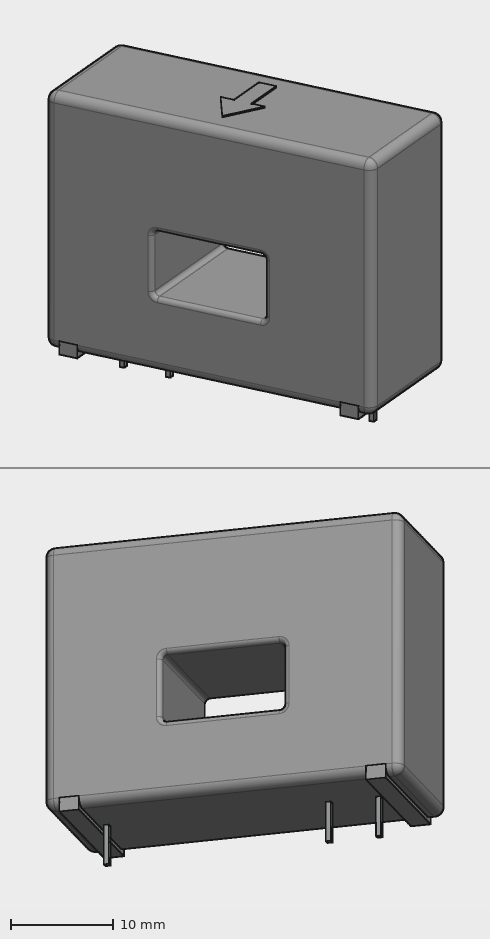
import cadquery as cq

length = 36.7
depth = 14.65
height = 27.2
edge_radius = 1.0

window_length = 12.6
window_height = 6.97
window_centre_z = 11.35
window_radius = 0.5

foot_width = 2.02
foot_centre_x = 15.75
foot_drop = 0.45
foot_height = edge_radius + foot_drop

pin_width = 0.5
pin_depth = 0.6
pin_length = 4.07
pin_y = 0.65
pin_places_x = (-14.0, -8.85, 13.95)

arrow_height = 0.15
arrow_length = 9.15
arrow_head_length = 4.1
arrow_head_width = 4.95
arrow_stem_width = 1.95


def make_foot(x):
    return (
        cq.Workplane("XY", origin=(x, 0, -foot_drop))
        .rect(foot_width, depth)
        .extrude(foot_height)
    )


def make_pin(x):
    return (
        cq.Workplane("XY", origin=(x, pin_y, 0))
        .rect(pin_width, pin_depth)
        .extrude(-pin_length)
    )


def make_window():
    """Solid that fills the window, to be cut from the housing."""
    return (
        cq.Workplane("XZ", origin=(0, 0, window_centre_z))
        .rect(window_length, window_height)
        .extrude(depth / 2, both=True)
        .edges("|Y")
        .fillet(window_radius)
    )


def make_housing(feet):
    block = (
        cq.Workplane("XY")
        .box(length, depth, height, centered=(True, True, False))
        .edges()
        .fillet(edge_radius)
    )
    rim_zone = cq.selectors.BoxSelector(
        (-window_length, -depth, window_centre_z - window_height),
        (window_length, depth, window_centre_z + window_height),
    )
    housing = (
        block.cut(make_window())
        .faces("<Y or >Y")
        .edges(rim_zone)
        .fillet(window_radius)
    )
    for foot in feet:
        housing = housing.cut(foot)
    return housing


def make_arrow():
    tail_y = arrow_length / 2
    tip_y = -arrow_length / 2
    neck_y = tip_y + arrow_head_length
    half_stem = arrow_stem_width / 2
    half_head = arrow_head_width / 2
    return (
        cq.Workplane("XY", origin=(0, 0, height))
        .polyline([
            (-half_stem, tail_y),
            (half_stem, tail_y),
            (half_stem, neck_y),
            (half_head, neck_y),
            (0, tip_y),
            (-half_head, neck_y),
            (-half_stem, neck_y),
        ])
        .close()
        .extrude(arrow_height)
    )


feet = [make_foot(side * foot_centre_x) for side in (-1, 1)]
pins = [make_pin(x) for x in pin_places_x]
housing = make_housing(feet)
arrow = make_arrow()

result = cq.Compound.makeCompound([
    housing.solids().val(),
    arrow.val(),
    *[foot.val() for foot in feet],
    *[pin.val() for pin in pins],
])